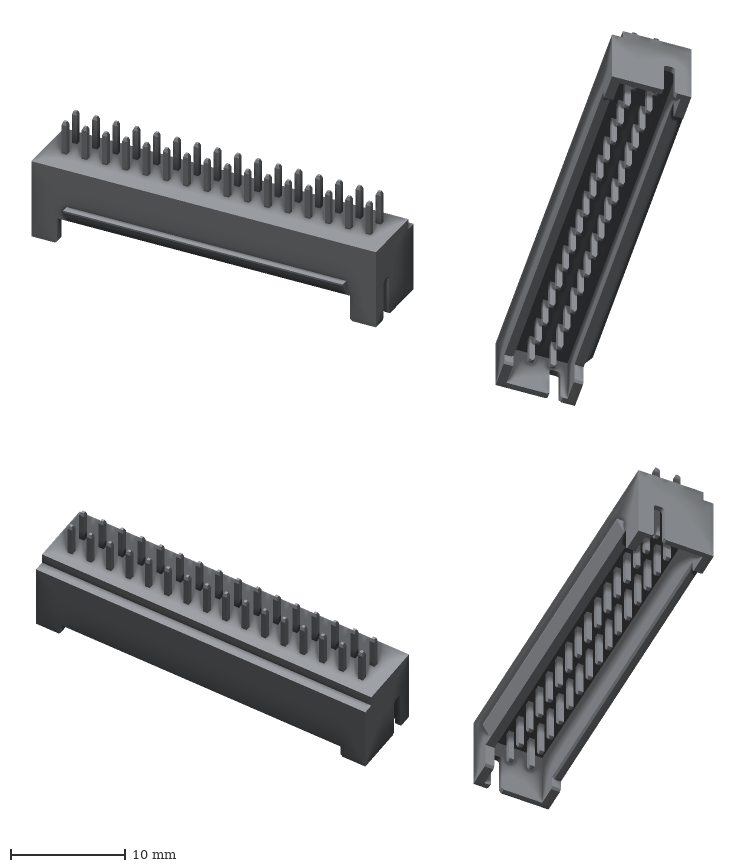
import cadquery as cq

LENGTH = 33.9
DEPTH = 7.3
HEIGHT = 7.7

REBATE = 1.0

SIDE_WALL = 0.85
END_WALL = 0.5
TOP_WALL = 2 * REBATE

SLOT_OFFSET = 1.5
SLOT_WIDTH = 1.02
SLOT_HEIGHT = 3.95
SLOT_FILLET = 0.3

LEG_LENGTH = 2.55
FRONT_WALL_BOTTOM = 2.55
REAR_WALL_BOTTOM = 1.15

BEVEL = 0.2

RIDGE_LENGTH = 27.5
RIDGE_START = 3.5
RIDGE_REACH = 0.7
RIDGE_LIP = 0.17

PINS_PER_ROW = 16
PIN_SPAN = 29.9
PIN_WIDTH = 0.5
PIN_BOTTOM = 2.15
PIN_RISE = 3.22
TIP_HEIGHT = 0.3
TIP_INSET = 0.12

front_y = -DEPTH / 2
rear_y = DEPTH / 2
inner_front_y = front_y + SIDE_WALL
inner_rear_y = rear_y - SIDE_WALL
slot_front_y = front_y + SLOT_OFFSET
slot_rear_y = slot_front_y + SLOT_WIDTH
opening_length = LENGTH - 2 * LEG_LENGTH
pitch = PIN_SPAN / (PINS_PER_ROW - 1)


def bar(length, y_min, y_max, z_min, z_max):
    """Rectangular bar along X, centred on X = 0."""
    center = (0, (y_min + y_max) / 2, (z_min + z_max) / 2)
    return cq.Workplane("XY").box(length, y_max - y_min, z_max - z_min).translate(center)


def make_shell():
    """Open-bottomed box with a rebate along its upper rear edge."""
    shell = bar(LENGTH, front_y, rear_y, 0, HEIGHT)
    shell = shell.cut(bar(LENGTH, rear_y - REBATE, rear_y, HEIGHT - REBATE, HEIGHT))
    return shell.cut(bar(LENGTH - 2 * END_WALL, inner_front_y, inner_rear_y, 0, HEIGHT - TOP_WALL))


def make_slot():
    """Cutter for the end-wall slots: rounded at the top and flared at the mouth."""
    slot = bar(LENGTH, slot_front_y, slot_rear_y, 0, SLOT_HEIGHT).edges("|X and >Z").fillet(SLOT_FILLET)
    flare = (
        cq.Workplane("YZ")
        .moveTo(slot_front_y - BEVEL, 0)
        .lineTo(slot_rear_y + BEVEL, 0)
        .lineTo(slot_rear_y, BEVEL)
        .lineTo(slot_front_y, BEVEL)
        .close()
        .extrude(LENGTH / 2, both=True)
    )
    return slot.union(flare)


def make_leg_opening(y_min, y_max, top_z):
    """Cutter for the gap between the legs in one side wall, flared at the mouth."""
    half_length = opening_length / 2
    return (
        cq.Workplane("XZ", origin=(0, y_max, 0))
        .moveTo(-half_length - BEVEL, 0)
        .lineTo(half_length + BEVEL, 0)
        .lineTo(half_length, BEVEL)
        .lineTo(half_length, top_z)
        .lineTo(-half_length, top_z)
        .lineTo(-half_length, BEVEL)
        .close()
        .extrude(y_max - y_min)
    )


def make_rear_wall_bevel():
    """Wedge-shaped cutter for the lower inner edge of the rear wall."""
    return (
        cq.Workplane("YZ")
        .moveTo(inner_rear_y, REAR_WALL_BOTTOM)
        .lineTo(inner_rear_y + BEVEL, REAR_WALL_BOTTOM)
        .lineTo(inner_rear_y, REAR_WALL_BOTTOM + BEVEL)
        .close()
        .extrude(opening_length / 2, both=True)
    )


def make_ridge():
    """Ridge with a flat top, a narrow lip and an underside sloping back to the wall."""
    return (
        cq.Workplane("YZ", origin=(RIDGE_START - LENGTH / 2, 0, 0))
        .moveTo(front_y, SLOT_HEIGHT)
        .lineTo(front_y - RIDGE_REACH, SLOT_HEIGHT)
        .lineTo(front_y - RIDGE_REACH, SLOT_HEIGHT - RIDGE_LIP)
        .lineTo(front_y, FRONT_WALL_BOTTOM)
        .close()
        .extrude(RIDGE_LENGTH)
    )


def make_pin():
    """Square pin on the Z axis with a tapered tip at each end."""
    pin_length = HEIGHT + PIN_RISE - PIN_BOTTOM
    pin = cq.Workplane("XY", origin=(0, 0, PIN_BOTTOM)).rect(PIN_WIDTH, PIN_WIDTH).extrude(pin_length)
    pin = pin.faces(">Z").chamfer(TIP_HEIGHT, TIP_INSET)
    return pin.faces("<Z").chamfer(TIP_HEIGHT, TIP_INSET)


def make_pins():
    """Two rows of pins, centred on the housing."""
    pin = make_pin().val()
    grid = cq.Workplane("XY").rarray(pitch, pitch, PINS_PER_ROW, 2)
    return grid.eachpoint(lambda place: pin.moved(place))


housing = (
    make_shell()
    .cut(make_slot())
    .cut(make_leg_opening(front_y, inner_front_y, FRONT_WALL_BOTTOM))
    .cut(make_leg_opening(inner_rear_y, rear_y, REAR_WALL_BOTTOM))
    .cut(make_rear_wall_bevel())
)

result = housing.union(make_ridge()).union(make_pins())